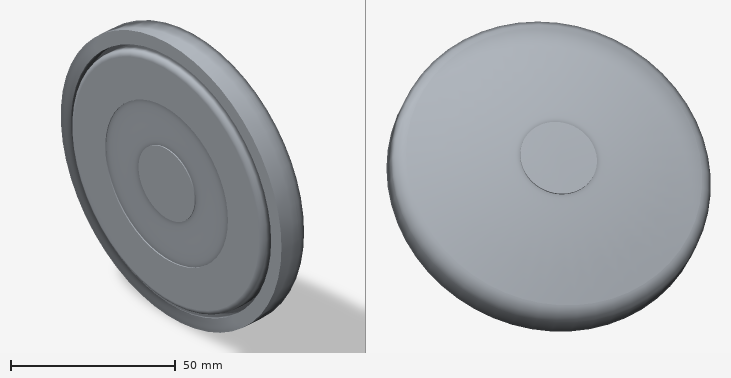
import cadquery as cq
import math

overall_depth = 20.8

housing_radius = 49.5
wall_height = 7.1
shoulder_radius = 4.95
dome_height = 18.4
pocket_radius = 44.8
pocket_depth = 4.0

plate_radius = 43.4
plate_protrusion = 1.9
plate_edge_radius = 1.8
groove_outer_radius = 27.5
groove_inner_radius = 12.6
groove_depth = 0.4

cap_radius = 11.9
cap_top = overall_depth - plate_protrusion
cap_rise = cap_top - dome_height

shoulder_center_x = housing_radius - shoulder_radius
apex_above_shoulder = dome_height - wall_height
dome_radius = (shoulder_center_x**2 + apex_above_shoulder**2 - shoulder_radius**2) / (
    2 * (apex_above_shoulder - shoulder_radius)
)
dome_center_y = dome_height - dome_radius
tangent_angle = math.atan2(wall_height - dome_center_y, shoulder_center_x)


def dome_y(radius):
    """Height of the housing dome at a distance from the Y axis."""
    return dome_center_y + math.sqrt(dome_radius**2 - radius**2)


def shoulder_point(angle):
    """Point on the shoulder arc at an angle above the horizontal."""
    return (
        shoulder_center_x + shoulder_radius * math.cos(angle),
        wall_height + shoulder_radius * math.sin(angle),
    )


def turn(profile):
    """Revolve a closed XY half-profile fully about the Y axis."""
    return profile.close().revolve(360, (0, 0, 0), (0, 1, 0))


def make_housing():
    tangent_point = shoulder_point(tangent_angle)
    dome_mid_radius = tangent_point[0] / 2
    profile = (
        cq.Workplane("XY")
        .moveTo(0, pocket_depth)
        .lineTo(pocket_radius, pocket_depth)
        .lineTo(pocket_radius, 0)
        .lineTo(housing_radius, 0)
        .lineTo(housing_radius, wall_height)
        .threePointArc(shoulder_point(tangent_angle / 2), tangent_point)
        .threePointArc((dome_mid_radius, dome_y(dome_mid_radius)), (0, dome_height))
    )
    return turn(profile)


def make_base_plate():
    thickness = pocket_depth + plate_protrusion
    plate = cq.Workplane("XZ", origin=(0, pocket_depth, 0)).circle(plate_radius).extrude(thickness)
    plate = plate.faces("<Y").edges().fillet(plate_edge_radius)
    groove = (
        cq.Workplane("XZ", origin=(0, groove_depth - plate_protrusion, 0))
        .circle(groove_outer_radius)
        .circle(groove_inner_radius)
        .extrude(groove_depth)
    )
    return plate.cut(groove)


def make_cap():
    mid_radius = cap_radius / 2
    profile = (
        cq.Workplane("XY")
        .moveTo(0, dome_height)
        .threePointArc((mid_radius, dome_y(mid_radius)), (cap_radius, dome_y(cap_radius)))
        .lineTo(cap_radius, dome_y(cap_radius) + cap_rise)
        .threePointArc((mid_radius, dome_y(mid_radius) + cap_rise), (0, cap_top))
    )
    return turn(profile)


housing = make_housing()
base_plate = make_base_plate()
cap = make_cap()

result = cq.Compound.makeCompound([housing.val(), base_plate.val(), cap.val()])